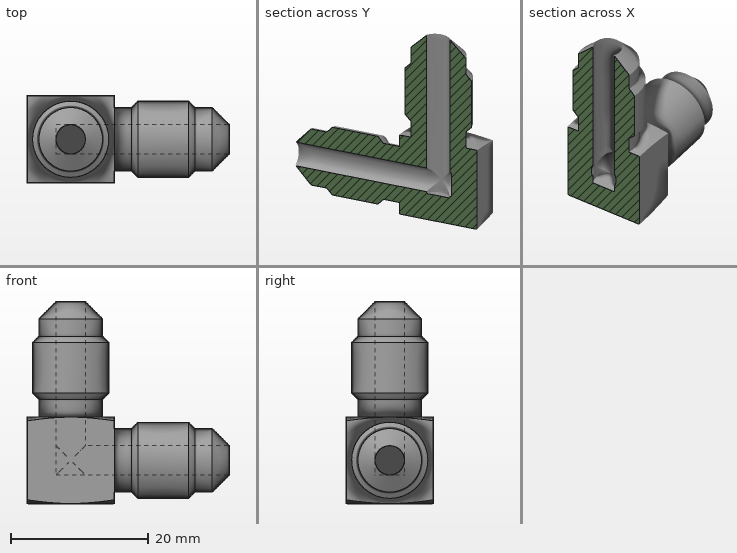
import cadquery as cq
import math

BODY_SIZE = 12.7
BODY_FACE_RADIUS = 6.1
BODY_CHAMFER_ANGLE = 11.5
ENVELOPE_MARGIN = 1.0

NECK_RADIUS = 4.635
COLLAR_RADIUS = 5.55
NECK_LENGTH = 2.54
COLLAR_LENGTH = 9.20
NOSE_LENGTH = 2.54
BORE_RADIUS = 2.135

HALF_BODY = BODY_SIZE / 2
COLLAR_BEVEL = COLLAR_RADIUS - NECK_RADIUS
COLLAR_START = HALF_BODY + NECK_LENGTH
COLLAR_END = COLLAR_START + COLLAR_LENGTH
NOSE_END = COLLAR_END + NOSE_LENGTH
TIP_LENGTH = NECK_RADIUS - BORE_RADIUS
LEG_END = NOSE_END + TIP_LENGTH


def revolve_about_z(points):
    """Revolve a closed (radius, height) outline about the Z axis."""
    return cq.Workplane("XZ").polyline(points).close().revolve(360, (0, 0, 0), (0, 1, 0))


def turn_to_x(shape):
    """Swing a shape built along +Z so that it points along +X."""
    return shape.rotate((0, 0, 0), (0, 1, 0), 90)


def make_body():
    """Cube whose top and bottom corners are turned down by a shallow cone."""
    cube = cq.Workplane("XY").box(BODY_SIZE, BODY_SIZE, BODY_SIZE)
    corner_radius = HALF_BODY * math.sqrt(2)
    envelope_radius = corner_radius + ENVELOPE_MARGIN
    slope = math.tan(math.radians(BODY_CHAMFER_ANGLE))
    envelope_edge = HALF_BODY - (envelope_radius - BODY_FACE_RADIUS) * slope
    envelope = revolve_about_z([
        (0, -HALF_BODY),
        (BODY_FACE_RADIUS, -HALF_BODY),
        (envelope_radius, -envelope_edge),
        (envelope_radius, envelope_edge),
        (BODY_FACE_RADIUS, HALF_BODY),
        (0, HALF_BODY),
    ])
    return cube.intersect(envelope)


def make_stub():
    """Stub along +Z: neck, bevelled collar, nose and conical tip."""
    return revolve_about_z([
        (0, 0),
        (NECK_RADIUS, 0),
        (NECK_RADIUS, COLLAR_START),
        (COLLAR_RADIUS, COLLAR_START + COLLAR_BEVEL),
        (COLLAR_RADIUS, COLLAR_END - COLLAR_BEVEL),
        (NECK_RADIUS, COLLAR_END),
        (NECK_RADIUS, NOSE_END),
        (BORE_RADIUS, LEG_END),
        (0, LEG_END),
    ])


def make_bore():
    """Flat-bottomed bore along +Z that reaches the far wall of the crossing bore."""
    start = cq.Workplane("XY").workplane(offset=-BORE_RADIUS)
    return start.circle(BORE_RADIUS).extrude(LEG_END + BORE_RADIUS)


stub = make_stub()
bore = make_bore()
result = make_body().union(stub).union(turn_to_x(stub))
result = result.cut(bore).cut(turn_to_x(bore))